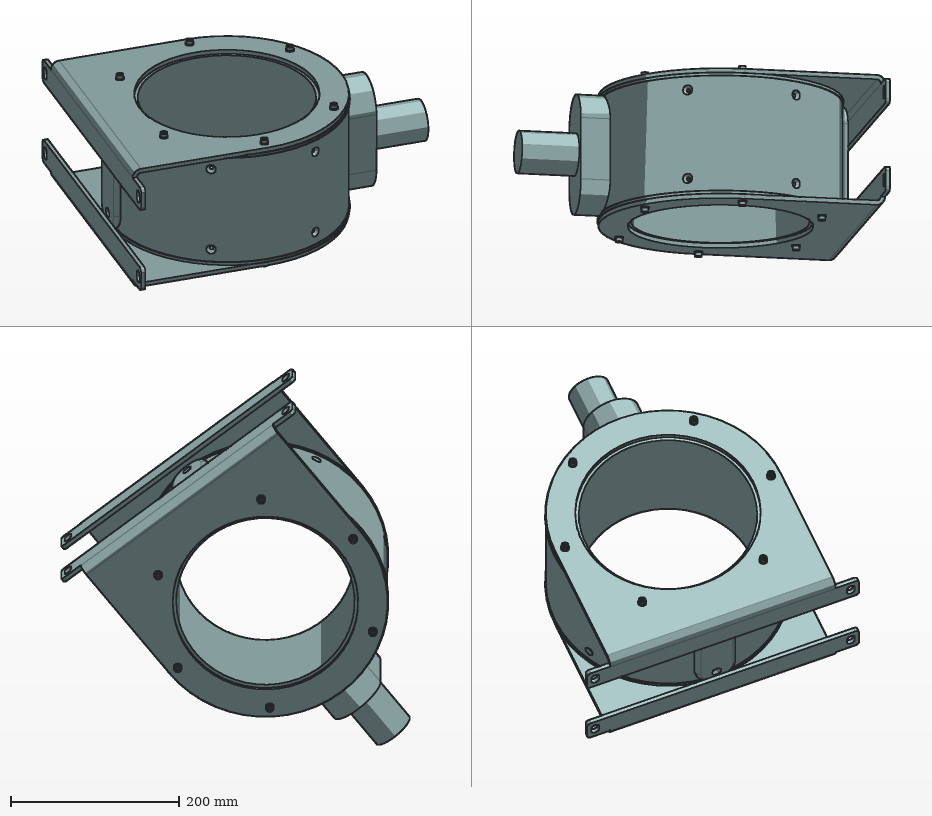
import cadquery as cq
import math

OVERALL_HEIGHT = 170.0
PLATES_HEIGHT = 158.5
SHEET = 5.5

BODY_RADIUS = 145.0
RIM_RADIUS = 146.2
RIM_HEIGHT = 3.7
BORE_DIAMETER = 212.0
PLATE_Z = PLATES_HEIGHT / 2
RING_HALF_HEIGHT = PLATE_Z - SHEET

PLATE_BORE_DIAMETER = 220.0
FLANGE_FACE_Y = -170.5
FLANGE_LENGTH = 350.0
FLANGE_WIDTH = 30.5
FLANGE_CORNER_RADIUS = 5.0
BEND_RADIUS = 10.5
FLANGE_TOP_Z = PLATE_Z - BEND_RADIUS
FLANGE_MID_Z = FLANGE_TOP_Z - FLANGE_WIDTH / 2
SLOT_SPACING = 329.0
SLOT_WIDTH = 10.0
SLOT_LENGTH = 15.5

SCREW_CIRCLE_RADIUS = 132.5
SCREW_ANGLES = (0, 54, 126, 180, 234, 306)
SCREW_HEAD_DIAMETER = 8.5
SCREW_COLLAR_DIAMETER = 10.0
SCREW_COLLAR_HEIGHT = 1.2
SCREW_SOCKET_DIAMETER = 4.0
SCREW_SOCKET_DEPTH = 2.5
SCREW_HEIGHT = (OVERALL_HEIGHT - PLATES_HEIGHT) / 2

RADIAL_HOLE_Z = 54.0
WALL_HOLE_ANGLES = (27, 153, 207, 333)
PAD_HOLE_ANGLE = 270
COUNTERSINK_DIAMETER = 11.5
COUNTERSINK_DEPTH = 4.0
PILOT_DIAMETER = 4.0
PILOT_DEPTH = 12.5

PAD_FACE_Y = -150.5
PAD_LENGTH = 146.2
PAD_WIDTH = 51.5
PAD_EDGE_RADIUS = 5.5

OUTLET_LENGTH = 145.5
OUTLET_WIDTH = 70.5
OUTLET_END_Y = 176.0
PIPE_DIAMETER = 51.0
PIPE_END_Y = 245.0
ROOT_RADIUS = 124.5


def disc(radius, bottom, top):
    return cq.Workplane("XY").workplane(offset=bottom).circle(radius).extrude(top - bottom)


def along_y(start, end):
    """Workplane facing -Y at `start`, and the extrusion distance that reaches `end`."""
    return cq.Workplane("XZ", origin=(0, start, 0)), start - end


def make_housing():
    body = disc(BODY_RADIUS, -RING_HALF_HEIGHT, RING_HALF_HEIGHT)
    upper_rim = disc(RIM_RADIUS, RING_HALF_HEIGHT - RIM_HEIGHT, RING_HALF_HEIGHT)
    return body.union(upper_rim).union(upper_rim.mirror("XY"))


def make_pad():
    plane, distance = along_y(-ROOT_RADIUS, PAD_FACE_Y)
    pad = plane.slot2D(PAD_LENGTH, PAD_WIDTH, 90).extrude(distance)
    return pad.faces("<Y").edges().fillet(PAD_EDGE_RADIUS)


def make_outlet():
    plane, distance = along_y(ROOT_RADIUS, OUTLET_END_Y)
    outlet = plane.slot2D(OUTLET_LENGTH, OUTLET_WIDTH, 90).extrude(distance)
    plane, distance = along_y(ROOT_RADIUS, PIPE_END_Y)
    return outlet.union(plane.circle(PIPE_DIAMETER / 2).extrude(distance))


def radial_hole(angle, surface_radius, z):
    """Countersunk hole cutter pointing at the ring axis from the given outer surface."""
    direction = cq.Vector(math.cos(math.radians(angle)), math.sin(math.radians(angle)), 0)
    start = direction * surface_radius + cq.Vector(0, 0, z)
    plane = cq.Workplane(cq.Plane(origin=start, xDir=(0, 0, 1), normal=-direction))
    cone = cq.Solid.makeCone(
        COUNTERSINK_DIAMETER / 2, PILOT_DIAMETER / 2, COUNTERSINK_DEPTH, pnt=start, dir=-direction
    )
    return plane.circle(PILOT_DIAMETER / 2).extrude(PILOT_DEPTH).union(cq.Workplane(cone))


def make_plate():
    """Upper plate: U-shaped sheet, bent down at -Y into a longer slotted flange."""
    bend_start_y = FLANGE_FACE_Y + BEND_RADIUS
    flat_length = -bend_start_y
    sheet = disc(BODY_RADIUS, RING_HALF_HEIGHT, PLATE_Z).union(
        cq.Workplane("XY", origin=(0, bend_start_y / 2, RING_HALF_HEIGHT))
        .rect(2 * BODY_RADIUS, flat_length)
        .extrude(SHEET)
    )
    sheet = sheet.cut(disc(PLATE_BORE_DIAMETER / 2, RING_HALF_HEIGHT, PLATE_Z))

    diagonal = math.sqrt(0.5)
    inner_radius = BEND_RADIUS - SHEET
    bend = (
        cq.Workplane("YZ")
        .moveTo(bend_start_y, PLATE_Z)
        .threePointArc(
            (bend_start_y - BEND_RADIUS * diagonal, FLANGE_TOP_Z + BEND_RADIUS * diagonal),
            (FLANGE_FACE_Y, FLANGE_TOP_Z),
        )
        .lineTo(FLANGE_FACE_Y + SHEET, FLANGE_TOP_Z)
        .threePointArc(
            (bend_start_y - inner_radius * diagonal, FLANGE_TOP_Z + inner_radius * diagonal),
            (bend_start_y, RING_HALF_HEIGHT),
        )
        .close()
        .extrude(BODY_RADIUS, both=True)
    )

    flange_plane = cq.Workplane("XZ", origin=(0, FLANGE_FACE_Y + SHEET, FLANGE_MID_Z))
    flange = flange_plane.rect(FLANGE_LENGTH, FLANGE_WIDTH).extrude(SHEET)
    flange = flange.edges("|Y").fillet(FLANGE_CORNER_RADIUS)
    slots = (
        flange_plane.pushPoints([(-SLOT_SPACING / 2, 0), (SLOT_SPACING / 2, 0)])
        .slot2D(SLOT_LENGTH, SLOT_WIDTH, 90)
        .extrude(SHEET)
    )
    return sheet.union(bend).union(flange.cut(slots))


def make_screws():
    collar = disc(SCREW_COLLAR_DIAMETER / 2, 0, SCREW_COLLAR_HEIGHT)
    head = disc(SCREW_HEAD_DIAMETER / 2, 0, SCREW_HEIGHT)
    socket = disc(SCREW_SOCKET_DIAMETER / 2, SCREW_HEIGHT - SCREW_SOCKET_DEPTH, SCREW_HEIGHT)
    screw = collar.union(head).cut(socket).translate((SCREW_CIRCLE_RADIUS, 0, PLATE_Z))
    screws = cq.Workplane("XY")
    for angle in SCREW_ANGLES:
        screws = screws.add(screw.rotate((0, 0, 0), (0, 0, 1), angle))
    return screws.combine()


result = make_housing().union(make_pad()).union(make_outlet())
result = result.cut(disc(BORE_DIAMETER / 2, -RING_HALF_HEIGHT, RING_HALF_HEIGHT))
for hole_z in (-RADIAL_HOLE_Z, RADIAL_HOLE_Z):
    for hole_angle in WALL_HOLE_ANGLES:
        result = result.cut(radial_hole(hole_angle, BODY_RADIUS, hole_z))
    result = result.cut(radial_hole(PAD_HOLE_ANGLE, -PAD_FACE_Y, hole_z))

upper_plate = make_plate().union(make_screws())
result = result.union(upper_plate).union(upper_plate.mirror("XY"))